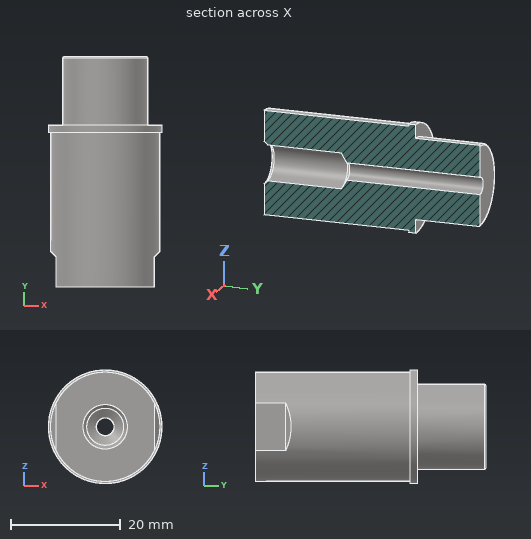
import cadquery as cq
import math

TOTAL_LENGTH = 42.07
FRONT_Y = -TOTAL_LENGTH / 2
BACK_Y = TOTAL_LENGTH / 2

BODY_DIAMETER = 19.96
COLLAR_DIAMETER = 20.76
COLLAR_THICKNESS = 1.4
NECK_DIAMETER = 15.6
NECK_LENGTH = 12.5
NECK_CHAMFER = 0.25

THROUGH_DIAMETER = 3.2
BORE_DIAMETER = 6.75
BORE_DEPTH = 15.0
BORE_MOUTH_DIAMETER = 8.1
BORE_MOUTH_DEPTH = (BORE_MOUTH_DIAMETER - BORE_DIAMETER) / 2
DRILL_POINT_ANGLE = 118.0
DRILL_POINT_DEPTH = (BORE_DIAMETER - THROUGH_DIAMETER) / 2 / math.tan(math.radians(DRILL_POINT_ANGLE / 2))

FLAT_LENGTH = 5.5
FLAT_RUNOUT = 1.0
ACROSS_FLATS = BODY_DIAMETER - 2 * FLAT_RUNOUT


def revolve_about_y(profile):
    """Turn a closed XY profile one full revolution around the Y axis."""
    return profile.close().revolve(360, (0, 0, 0), (0, 1, 0))


def make_turned_body():
    """Body, collar and chamfered neck as one turned solid."""
    body_r = BODY_DIAMETER / 2
    collar_r = COLLAR_DIAMETER / 2
    neck_r = NECK_DIAMETER / 2
    collar_back_y = BACK_Y - NECK_LENGTH
    collar_front_y = collar_back_y - COLLAR_THICKNESS
    profile = (
        cq.Workplane("XY")
        .moveTo(0, FRONT_Y)
        .lineTo(body_r, FRONT_Y)
        .lineTo(body_r, collar_front_y)
        .lineTo(collar_r, collar_front_y)
        .lineTo(collar_r, collar_back_y)
        .lineTo(neck_r, collar_back_y)
        .lineTo(neck_r, BACK_Y - NECK_CHAMFER)
        .lineTo(neck_r - NECK_CHAMFER, BACK_Y)
        .lineTo(0, BACK_Y)
    )
    return revolve_about_y(profile)


def make_bore():
    """Chamfered blind bore with a conical bottom leading into the through hole."""
    bore_r = BORE_DIAMETER / 2
    through_r = THROUGH_DIAMETER / 2
    bore_end_y = FRONT_Y + BORE_DEPTH
    profile = (
        cq.Workplane("XY")
        .moveTo(0, FRONT_Y)
        .lineTo(BORE_MOUTH_DIAMETER / 2, FRONT_Y)
        .lineTo(bore_r, FRONT_Y + BORE_MOUTH_DEPTH)
        .lineTo(bore_r, bore_end_y)
        .lineTo(through_r, bore_end_y + DRILL_POINT_DEPTH)
        .lineTo(through_r, BACK_Y)
        .lineTo(0, BACK_Y)
    )
    return revolve_about_y(profile)


def make_flat_cutter(side):
    """Cutter for one wrench flat with a 45 degree run-out; side is +1 or -1 along X."""
    flat_x = side * ACROSS_FLATS / 2
    edge_x = side * BODY_DIAMETER / 2
    flat_end_y = FRONT_Y + FLAT_LENGTH
    return (
        cq.Workplane("XY")
        .moveTo(flat_x, FRONT_Y)
        .lineTo(flat_x, flat_end_y)
        .lineTo(edge_x, flat_end_y + FLAT_RUNOUT)
        .lineTo(edge_x, FRONT_Y)
        .close()
        .extrude(BODY_DIAMETER / 2, both=True)
    )


result = make_turned_body().cut(make_bore())
for flat_side in (-1, 1):
    result = result.cut(make_flat_cutter(flat_side))